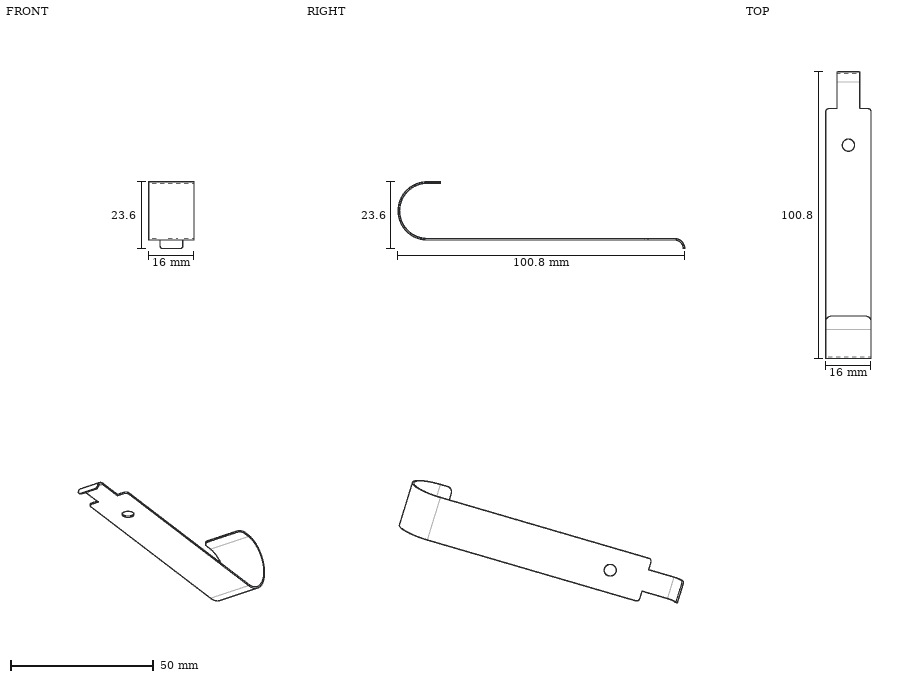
import cadquery as cq

total_length = 100.8
strip_width = 16.0
thickness = 0.6

hook_height = 20.6
hook_lip = 4.6
lip_corner_radius = 2.0

tab_width = 8.1
tab_length = 12.9
curl_drop = 3.0
tip_corner_radius = 1.0
shoulder_radius = 1.2

hole_diameter = 4.2
hole_from_shoulder = 12.9

hook_radius = hook_height / 2
front_y = -total_length / 2
tip_y = total_length / 2
hook_y = front_y + hook_radius
curl_radius = curl_drop + thickness
shoulder_y = tip_y - tab_length
curl_y = tip_y - curl_radius
lip_end_y = hook_y + hook_lip


def extrude_profile(profile, width):
    """Extrude a YZ outline symmetrically about the X = 0 plane."""
    return profile.close().extrude(width / 2, both=True)


def make_strip():
    """Flat strip with rounded shoulders and the mounting hole."""
    strip = (
        cq.Workplane("XY")
        .box(strip_width, shoulder_y - hook_y, thickness, centered=(True, False, False))
        .translate((0, hook_y, 0))
        .edges("|Z and >Y")
        .fillet(shoulder_radius)
    )
    hole = (
        cq.Workplane("XY")
        .center(0, shoulder_y - hole_from_shoulder)
        .circle(hole_diameter / 2)
        .extrude(thickness)
    )
    return strip.cut(hole)


def make_hook():
    """Half turn and straight lip with rounded end corners."""
    profile = (
        cq.Workplane("YZ")
        .moveTo(hook_y, 0)
        .threePointArc((front_y, hook_radius), (hook_y, hook_height))
        .lineTo(lip_end_y, hook_height)
        .lineTo(lip_end_y, hook_height - thickness)
        .lineTo(hook_y, hook_height - thickness)
        .threePointArc((front_y + thickness, hook_radius), (hook_y, thickness))
    )
    return extrude_profile(profile, strip_width).edges("|Z and >Y").fillet(lip_corner_radius)


def make_tab():
    """Narrow tab ending in a quarter turn, with rounded tip corners."""
    profile = (
        cq.Workplane("YZ")
        .moveTo(shoulder_y, 0)
        .lineTo(shoulder_y, thickness)
        .lineTo(curl_y, thickness)
        .radiusArc((tip_y, -curl_drop), curl_radius)
        .lineTo(tip_y - thickness, -curl_drop)
        .radiusArc((curl_y, 0), -curl_drop)
    )
    tab = extrude_profile(profile, tab_width)
    rounded_end = (
        cq.Workplane("XY")
        .box(tab_width, tab_length, curl_radius, centered=(True, False, False))
        .translate((0, shoulder_y, -curl_drop))
        .edges("|Y and <Z")
        .fillet(tip_corner_radius)
    )
    return tab.intersect(rounded_end)


result = make_strip().union(make_hook()).union(make_tab())